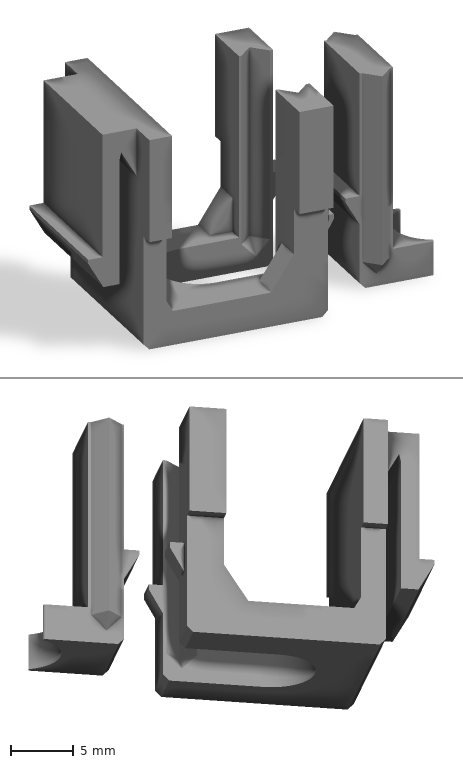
import cadquery as cq
import math


height = 19.0
floor_thickness = 3.0
edge_chamfer = 0.5
slope_angle = math.radians(30)
barb_top = 8.2
barb_lip = 0.35

housing_depth = 16.2
housing_width = 14.3
shoulder_width = 16.5
shoulder_height = 10.0
front_wall = 2.0
post_thickness = 3.0
slot_width = 7.1
slot_radius = slot_width / 2
slot_centre_y = 8.0
front_bevel_height = 1.0
gusset_length = 2.0
gusset_height = 3.0
groove_size = 1.25
groove_inset = 1.53
groove_y = housing_depth - groove_inset
gusset_gap = slot_width + 2 * groove_size
post_barb_reach = 1.15
post_barb_lip = 0.45

arm_width = 11.5
arm_gap = 1.5
arm_thickness = 1.5
arm_bottom = 5.55
arm_barb_reach = 1.25
arm_root_bottom = 14.8
arm_apex_y = -1.35
arm_apex_z = arm_root_bottom - arm_apex_y / math.tan(slope_angle)
arm_gap_corner_z = 16.5

insert_width = 6.95
insert_clearance = 4.45
insert_front = housing_depth + insert_clearance
insert_plate = 2.95
insert_rib_size = 1.25
insert_rib_inset = 1.45
insert_barb_reach = 1.25
insert_arc_radius = 3.5
insert_arc_depth = 2.05
foot_corner_radius = 0.2
insert_depth = 6.58
rib_shoulder_z = 2.35


def side_plate(points, width, centre_x=0.0):
    """Closed (Y, Z) outline extruded along X, symmetric about centre_x."""
    plate = cq.Workplane("YZ").polyline(points).close().extrude(width / 2, both=True)
    return plate.translate((centre_x, 0, 0))


def block(width, y_start, y_end, z_start, z_end):
    """Box centred on X between the given Y and Z limits."""
    box = cq.Workplane("XY").box(width, y_end - y_start, z_end - z_start, centered=(True, False, False))
    return box.translate((0, y_start, z_start))


def barb(face_y, direction, reach, lip, width, centre_x=0.0):
    """Catch with a flat top, a short vertical lip and a slope back to the face it stands on."""
    tip_y = face_y + direction * reach
    lip_z = barb_top - lip
    slope_end_z = lip_z - reach / math.tan(slope_angle)
    points = [(face_y, barb_top), (tip_y, barb_top), (tip_y, lip_z), (face_y, slope_end_z)]
    return side_plate(points, width, centre_x)


def pointed_column(size, x, y):
    """Upright column of diamond section, ending below in a four-sided point."""
    corners = [(x + size, y), (x, y + size), (x - size, y), (x, y - size)]
    low = [cq.Vector(cx, cy, rib_shoulder_z) for cx, cy in corners]
    high = [cq.Vector(cx, cy, height) for cx, cy in corners]
    tip = cq.Vector(x, y, rib_shoulder_z - size)
    faces = [cq.Face.makeFromWires(cq.Wire.makePolygon(high, close=True))]
    for i in range(len(corners)):
        j = (i + 1) % len(corners)
        side = [low[i], low[j], high[j], high[i]]
        slope = [low[i], low[j], tip]
        for outline in (side, slope):
            faces.append(cq.Face.makeFromWires(cq.Wire.makePolygon(outline, close=True)))
    return cq.Workplane(cq.Solid.makeSolid(cq.Shell.makeShell(faces)))


def make_housing_frame():
    """U-shaped frame: front wall, floor and rear posts, with wider shoulders above."""
    post_y = housing_depth - post_thickness
    frame = block(housing_width, 0, housing_depth, 0, height)
    frame = frame.edges("|X and <Z").chamfer(edge_chamfer)
    for y_start, y_end in ((0, front_wall), (post_y, housing_depth)):
        frame = frame.union(block(shoulder_width, y_start, y_end, shoulder_height, height))
    frame = frame.cut(block(shoulder_width, front_wall, post_y, floor_thickness, height))

    bevel_top = floor_thickness + front_bevel_height
    bevel_end = front_wall + front_bevel_height * math.tan(slope_angle)
    front_bevel = [(front_wall, floor_thickness), (bevel_end, floor_thickness), (front_wall, bevel_top)]
    frame = frame.union(side_plate(front_bevel, housing_width))

    gusset = [
        (post_y, floor_thickness),
        (post_y - gusset_length, floor_thickness),
        (post_y, floor_thickness + gusset_height),
    ]
    gusset_width = (housing_width - gusset_gap) / 2
    gusset_x = (housing_width + gusset_gap) / 4
    for side in (-1, 1):
        frame = frame.union(side_plate(gusset, gusset_width, side * gusset_x))
    return frame


def make_slot():
    """Round-ended slot through the floor, open at the rear between the posts."""
    round_end = cq.Workplane("XY").center(0, slot_centre_y).circle(slot_radius).extrude(floor_thickness)
    return round_end.union(block(slot_width, slot_centre_y, housing_depth, 0, height))


def make_spring_arm():
    """Arm hanging from the top of the front wall, with a catch along its lower edge."""
    inner_y = -arm_gap
    outer_y = inner_y - arm_thickness
    tip_y = outer_y - arm_barb_reach
    lip_z = barb_top - barb_lip
    slope_end_y = tip_y + (lip_z - arm_bottom) * math.tan(slope_angle)
    outline = [
        (0, height),
        (outer_y, height),
        (outer_y, barb_top),
        (tip_y, barb_top),
        (tip_y, lip_z),
        (slope_end_y, arm_bottom),
        (inner_y, arm_bottom),
        (inner_y, arm_gap_corner_z),
        (arm_apex_y, arm_apex_z),
        (0, arm_root_bottom),
    ]
    return side_plate(outline, arm_width)


def make_housing():
    body = make_housing_frame().cut(make_slot()).union(make_spring_arm())
    post_barb_width = (arm_width - slot_width) / 2
    post_barb_x = (arm_width + slot_width) / 4
    for side in (-1, 1):
        post_barb = barb(housing_depth, 1, post_barb_reach, post_barb_lip, post_barb_width, side * post_barb_x)
        body = body.union(post_barb)
        body = body.cut(pointed_column(groove_size, side * slot_width / 2, groove_y))
    return body


def make_insert():
    """Plate with V ribs on both sides, a catch in front and a foot hollowed by an arc behind."""
    back_y = insert_front + insert_depth
    body = block(insert_width, insert_front, back_y, 0, floor_thickness)
    body = body.edges("|Z and >Y").fillet(foot_corner_radius)
    body = body.union(block(insert_width, insert_front, insert_front + insert_plate, 0, height))
    body = body.edges("|X and <Z and <Y").chamfer(edge_chamfer)

    arc_centre_y = back_y - insert_arc_depth + insert_arc_radius
    hollow = cq.Workplane("XY").center(0, arc_centre_y).circle(insert_arc_radius).extrude(floor_thickness)
    body = body.cut(hollow)

    body = body.union(barb(insert_front, -1, insert_barb_reach, barb_lip, insert_width))
    for side in (-1, 1):
        rib = pointed_column(insert_rib_size, side * insert_width / 2, insert_front + insert_rib_inset)
        body = body.union(rib)
    return body


housing = make_housing()
insert = make_insert()
result = cq.Compound.makeCompound([housing.val(), insert.val()])